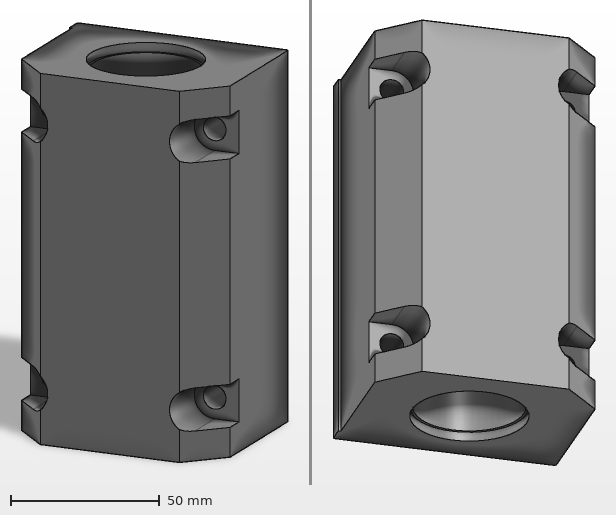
import cadquery as cq

width = 78.0
depth = 60.0
height = 130.0

lip_overhang = 0.9
lip_depth = 6.5
front_chamfer = 12.9
back_chamfer = 0.5

bore_diameter = 38.0
seat_diameter = 40.0
seat_depth = 3.2

hole_diameter = 8.3
hole_spacing_x = 60.0
hole_spacing_z = 94.0
pocket_width = 15.1
pocket_depth = 20.0

right_x = width / 2
lip_x = -width / 2
left_x = lip_x + lip_overhang
back_y = depth / 2
front_y = -depth / 2


def make_body():
    """Block with chamfered corners and a reference lip along the back left edge."""
    outline = [
        (left_x + front_chamfer, front_y),
        (right_x - front_chamfer, front_y),
        (right_x, front_y + front_chamfer),
        (right_x, back_y - back_chamfer),
        (right_x - back_chamfer, back_y),
        (lip_x + back_chamfer, back_y),
        (lip_x, back_y - back_chamfer),
        (lip_x, back_y - lip_depth),
        (left_x, back_y - lip_depth),
        (left_x, front_y + front_chamfer),
    ]
    return (
        cq.Workplane("XY")
        .workplane(offset=-height / 2)
        .polyline(outline)
        .close()
        .extrude(height)
    )


def make_bore():
    """Through bore with a wider seat at the top and bottom ends."""
    bore = cq.Workplane("XY").circle(bore_diameter / 2).extrude(height / 2, both=True)
    for end in (-1, 1):
        seat = (
            cq.Workplane("XY")
            .workplane(offset=end * height / 2)
            .circle(seat_diameter / 2)
            .extrude(-end * seat_depth)
        )
        bore = bore.union(seat)
    return bore


def make_screw_cut(side, z):
    """Through hole and round-ended pocket open to the outside; side is -1 left, +1 right."""
    hole_x = side * hole_spacing_x / 2
    floor_y = front_y + pocket_depth
    hole = (
        cq.Workplane("XZ")
        .center(hole_x, z)
        .circle(hole_diameter / 2)
        .extrude(depth, both=True)
    )
    round_end = (
        cq.Workplane("XZ", origin=(0, floor_y, 0))
        .center(hole_x, z)
        .circle(pocket_width / 2)
        .extrude(pocket_depth)
    )
    straight_part = (
        cq.Workplane("XZ", origin=(0, floor_y, 0))
        .center(hole_x + side * pocket_width / 2, z)
        .rect(pocket_width, pocket_width)
        .extrude(pocket_depth)
    )
    return hole.union(round_end).union(straight_part)


result = make_body().cut(make_bore())
for side in (-1, 1):
    for row in (-1, 1):
        result = result.cut(make_screw_cut(side, row * hole_spacing_z / 2))